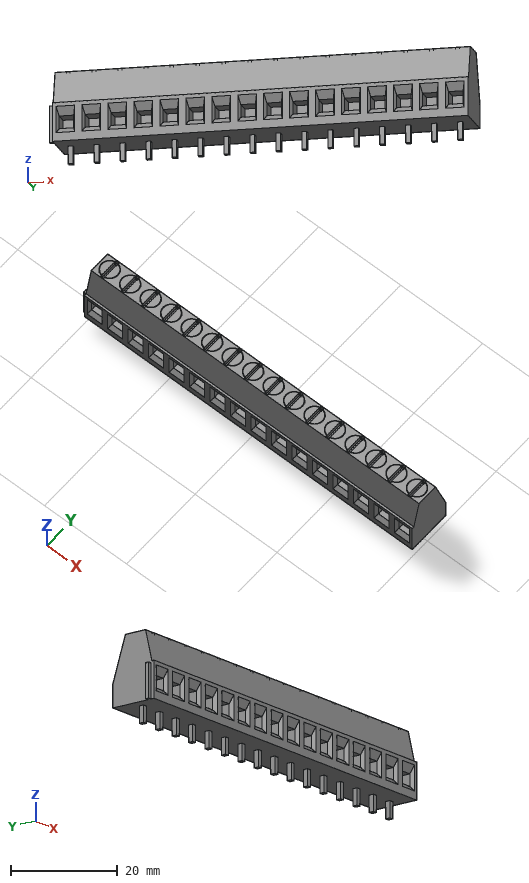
import cadquery as cq


pole_count = 16
pitch = 5.0
body_length = pole_count * pitch
body_depth = 9.8
body_height = 13.9
ledge_depth = 0.5
ledge_height = 7.5
top_front = 2.0
top_back = 6.8
back_wall_height = 4.7

rib_projection = 0.74
rib_width = 0.7
rib_front = 0.7
rib_height = 7.1

mouth_width = 3.6
mouth_height = 5.1
mouth_bottom = 1.65
mouth_depth = 0.8
entry_width = 2.8
entry_height = 2.45
entry_bottom = 2.6
entry_depth = 4.0

screw_hole_diameter = 4.0
screw_diameter = 3.8
screw_gap_depth = 1.5
slot_width = 0.7
slot_length = 4.5
slot_depth = 1.0
screw_y = (top_front + top_back) / 2

pin_width = 0.9
pin_thickness = 1.0
pin_length = 3.4
pin_y = 4.6


def make_housing():
    """Tapered block, extruded along X from its YZ outline."""
    outline = [
        (0, 0),
        (body_depth, 0),
        (body_depth, back_wall_height),
        (top_back, body_height),
        (top_front, body_height),
        (ledge_depth, ledge_height),
        (0, ledge_height),
    ]
    return cq.Workplane("YZ").polyline(outline).close().extrude(body_length)


def make_rib():
    """Upright rib that stands out from the left end."""
    return (
        cq.Workplane("XY")
        .box(rib_projection, rib_width, rib_height, centered=False)
        .translate((-rib_projection, rib_front, 0))
    )


def make_wire_entry():
    """Cutting shape of one wire entry, centred on X = 0."""
    mouth_center = mouth_bottom + mouth_height / 2
    entry_center = entry_bottom + entry_height / 2
    mouth = (
        cq.Workplane("XZ")
        .center(0, mouth_center)
        .rect(mouth_width, mouth_height)
        .workplane(offset=-mouth_depth)
        .center(0, entry_center - mouth_center)
        .rect(entry_width, entry_height)
        .loft(ruled=True)
    )
    hole = (
        cq.Workplane("XZ", origin=(0, mouth_depth, 0))
        .center(0, entry_center)
        .rect(entry_width, entry_height)
        .extrude(mouth_depth - entry_depth)
    )
    return mouth.union(hole)


def make_screw_recess():
    """Cutting shape of the ring gap and driver slot of one screw, centred on X = 0."""
    top = cq.Workplane("XY", origin=(0, screw_y, body_height))
    gap = top.circle(screw_hole_diameter / 2).circle(screw_diameter / 2).extrude(-screw_gap_depth)
    slot = top.rect(slot_width, slot_length).extrude(-slot_depth)
    return gap.union(slot)


def make_pin():
    """One solder pin below the housing, centred on X = 0."""
    return (
        cq.Workplane("XY", origin=(0, pin_y, 0))
        .rect(pin_width, pin_thickness)
        .extrude(-pin_length)
    )


wire_entry = make_wire_entry()
screw_recess = make_screw_recess()
pin = make_pin()

result = make_housing().union(make_rib())
for pole in range(pole_count):
    pole_position = ((pole + 0.5) * pitch, 0, 0)
    result = result.cut(wire_entry.translate(pole_position))
    result = result.cut(screw_recess.translate(pole_position))
    result = result.union(pin.translate(pole_position))